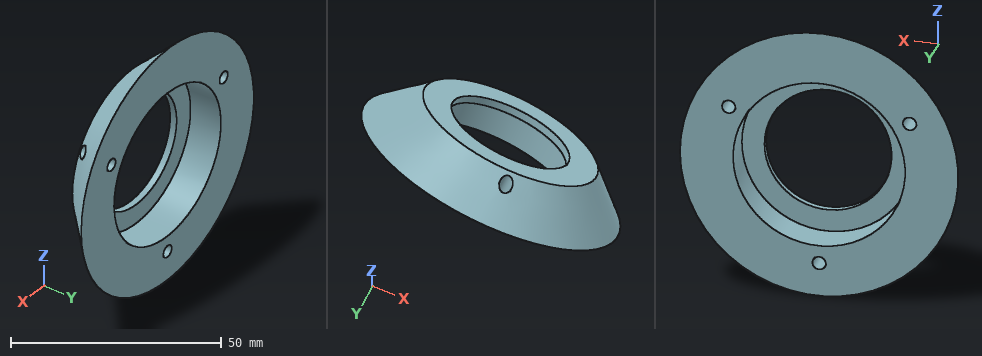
import cadquery as cq

outer_diameter = 68.0
height = 11.0
front_diameter = 46.0
bore_diameter = 31.0
front_wall = 2.0
recess_diameter = 42.0
screw_hole_diameter = 3.25
screw_circle_diameter = 51.0
screw_count = 3
first_screw_angle = 30.0


def conical_ring():
    """Revolve the tapered, stepped-bore section about the Y axis."""
    recess_radius = recess_diameter / 2
    bore_radius = bore_diameter / 2
    lip_back = front_wall - height
    section = (
        cq.Workplane("XY")
        .moveTo(recess_radius, 0)
        .lineTo(outer_diameter / 2, 0)
        .lineTo(front_diameter / 2, -height)
        .lineTo(bore_radius, -height)
        .lineTo(bore_radius, lip_back)
        .lineTo(recess_radius, lip_back)
        .close()
    )
    return section.revolve(360, (0, 0, 0), (0, 1, 0))


def screw_holes():
    """Cylinders parallel to Y, evenly spaced around the cone."""
    return (
        cq.Workplane("XZ")
        .polarArray(screw_circle_diameter / 2, first_screw_angle, 360, screw_count)
        .circle(screw_hole_diameter / 2)
        .extrude(height)
    )


result = conical_ring().cut(screw_holes())